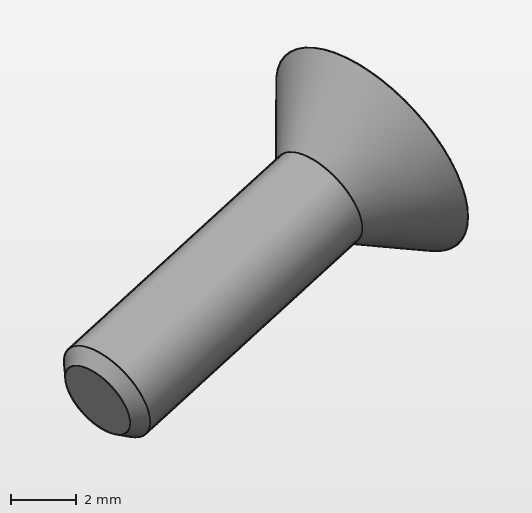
import cadquery as cq

total_length = 12.7
head_diameter = 7.8
head_height = 2.45
shank_diameter = 3.5
tip_chamfer = 0.43

head_radius = head_diameter / 2
shank_radius = shank_diameter / 2
shank_length = total_length - head_height

half_profile = (
    cq.Workplane("XY")
    .moveTo(0, 0)
    .lineTo(shank_radius - tip_chamfer, 0)
    .lineTo(shank_radius, tip_chamfer)
    .lineTo(shank_radius, shank_length)
    .lineTo(head_radius, total_length)
    .lineTo(0, total_length)
    .close()
)

result = half_profile.revolve(360, (0, 0, 0), (0, 1, 0))